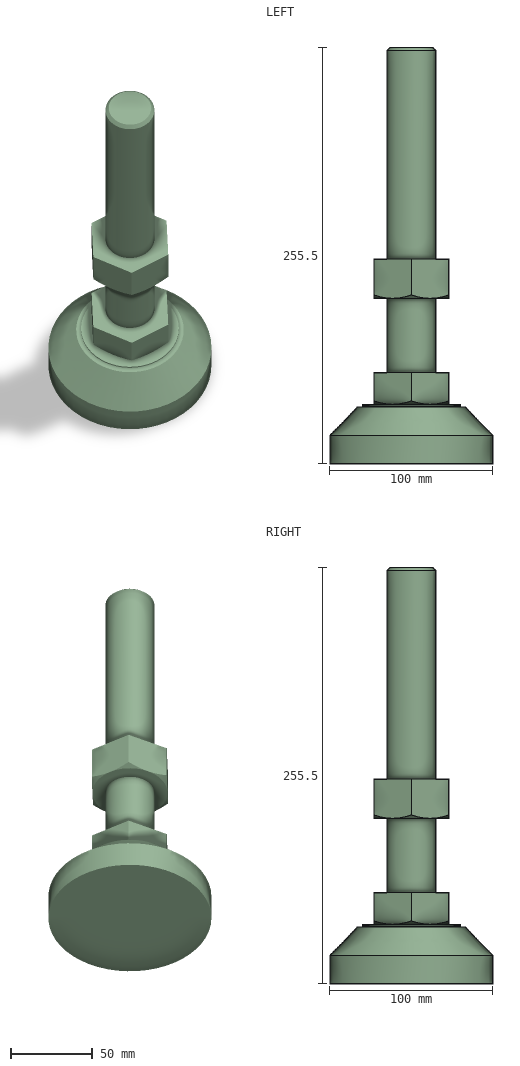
import cadquery as cq
import math

foot_diameter = 100.0
foot_rim_height = 17.5
foot_height = 35.0
foot_top_diameter = 66.0

neck_diameter = 52.0
neck_height = 0.5
flange_diameter = 60.0
flange_thickness = 1.0

overall_height = 255.5
stud_diameter = 30.0
stud_chamfer = 2.0

hex_across_flats = 46.0
hex_chamfer_angle = 30.0
lower_hex_height = 19.5
upper_hex_height = 24.0
upper_hex_base = 101.5

flange_base = foot_height + neck_height
flange_top = flange_base + flange_thickness
hex_across_corners = hex_across_flats / math.cos(math.radians(30.0))


def revolve_profile(profile):
    """Solid of revolution about Z from (radius, height) points."""
    return cq.Workplane("XZ").polyline(profile).close().revolve(360, (0, 0, 0), (0, 1, 0))


def make_disc(diameter, base, height):
    """Upright cylinder on the Z axis."""
    return cq.Workplane("XY").workplane(offset=base).circle(diameter / 2).extrude(height)


def make_foot():
    """Cylindrical rim with a cone rising to a flat top."""
    return revolve_profile([
        (0, 0),
        (foot_diameter / 2, 0),
        (foot_diameter / 2, foot_rim_height),
        (foot_top_diameter / 2, foot_height),
        (0, foot_height),
    ])


def make_hexagon(base, height):
    """Hexagon with corners on the X axis and its lower corners cut by a cone."""
    flat_radius = hex_across_flats / 2
    corner_radius = hex_across_corners / 2
    chamfer_height = (corner_radius - flat_radius) * math.tan(math.radians(hex_chamfer_angle))
    prism = cq.Workplane("XY").workplane(offset=base).polygon(6, hex_across_corners).extrude(height)
    envelope = revolve_profile([
        (0, base),
        (flat_radius, base),
        (corner_radius, base + chamfer_height),
        (corner_radius, base + height),
        (0, base + height),
    ])
    return prism.intersect(envelope)


def make_spindle():
    """Neck, flange, chamfered stud and both hexagons as one solid."""
    neck = make_disc(neck_diameter, foot_height, neck_height)
    flange = make_disc(flange_diameter, flange_base, flange_thickness)
    stud = make_disc(stud_diameter, flange_top, overall_height - flange_top)
    stud = stud.faces(">Z").chamfer(stud_chamfer)
    lower_hex = make_hexagon(flange_top, lower_hex_height)
    upper_hex = make_hexagon(upper_hex_base, upper_hex_height)
    return neck.union(flange).union(stud).union(lower_hex).union(upper_hex)


foot = make_foot()
spindle = make_spindle()

result = cq.Compound.makeCompound([foot.val(), spindle.val()])